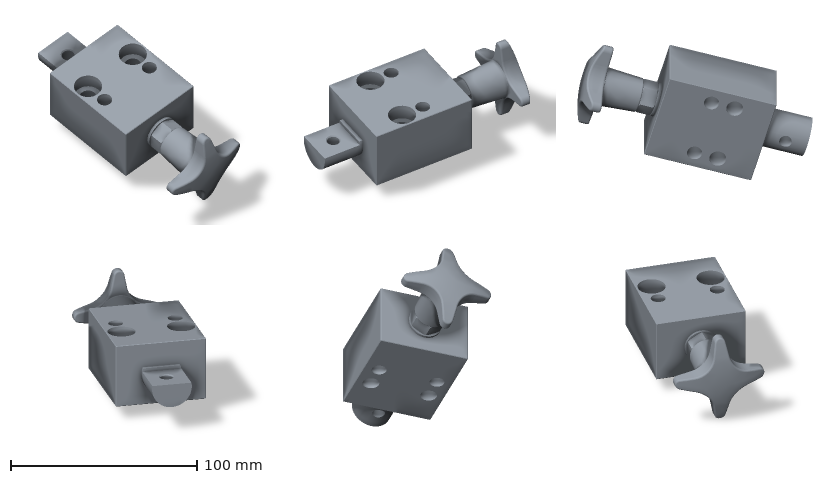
import cadquery as cq
import math


block_start = 24.0
block_length = 59.8
block_width = 50.0
block_height = 34.7
block_edge_chamfer = 0.3
block_end = block_start + block_length

hole_spacing = 33.0
screw_setback = 21.0
screw_x = block_start + screw_setback
screw_hole_diameter = 9.0
counterbore_diameter = 15.1
counterbore_depth = 8.8
screw_to_dowel = 13.0
dowel_x = screw_x + screw_to_dowel
dowel_hole_diameter = 8.0

plunger_diameter = 22.0
tongue_flat_height = 2.0
shoulder_height = 4.0
shoulder_length = 2.0
tongue_hole_x = 12.0
tongue_hole_diameter = 6.8
tongue_countersink_diameter = 8.0

collar_length = 1.5
collar_radius = 9.3
nut_length = 8.3
nut_across_flats = 16.0
nut_sides = 6
nut_across_corners = nut_across_flats / math.cos(math.pi / nut_sides)
nut_bevel_angle = 30
nut_bevel_depth = 0.9
nut_start = block_end + collar_length
nut_end = nut_start + nut_length

overall_length = 125.8
star_thickness = 10.8
star_radius = block_width / 2
dome_radius = 59.1
lobe_count = 4
lobe_tip_radius = 3.0
lobe_flank_angle = 11
valley_radius = 13.2
star_edge_fillet = 1.0
hub_start_radius = 9.3
hub_end_radius = 10.7
hub_flare_radius = 0.4
hub_edge_fillet = 0.8
star_start = overall_length - star_thickness


def cylinder_x(start, length, radius):
    """Cylinder on the X axis."""
    return cq.Workplane("YZ", origin=(start, 0, 0)).circle(radius).extrude(length)


def box_above(z, start, end):
    """Box that removes everything above height z between two X positions."""
    return cq.Workplane("XY").box(
        end - start, plunger_diameter, plunger_diameter, centered=(False, True, False)
    ).translate((start, 0, z))


def flatted_shaft(start, end):
    """Round shaft with one flat on top, which keeps it from turning in its bore."""
    shaft = cylinder_x(start, end - start, plunger_diameter / 2)
    return shaft.cut(box_above(shoulder_height, start, end))


def hole_pair(x, diameter, depth):
    """Two cylinders going down from the top of the block, one on each side of the plunger."""
    centres = [(x, side * hole_spacing / 2) for side in (-1, 1)]
    top = cq.Workplane("XY", origin=(0, 0, block_height / 2))
    return top.pushPoints(centres).circle(diameter / 2).extrude(-depth)


def make_block():
    """Chamfered block with the plunger bore, counterbored screw holes and plain dowel holes."""
    block = (
        cq.Workplane("XY")
        .box(block_length, block_width, block_height)
        .edges()
        .chamfer(block_edge_chamfer)
        .translate((block_start + block_length / 2, 0, 0))
    )
    block = block.cut(flatted_shaft(block_start, block_end))
    block = block.cut(hole_pair(screw_x, screw_hole_diameter, block_height))
    block = block.cut(hole_pair(screw_x, counterbore_diameter, counterbore_depth))
    return block.cut(hole_pair(dowel_x, dowel_hole_diameter, block_height))


def make_plunger():
    """Flatted shaft with a lower flat along its tongue and a countersunk hole through the tongue."""
    shoulder_start = block_start - shoulder_length
    plunger = flatted_shaft(0, block_end)
    plunger = plunger.cut(box_above(tongue_flat_height, 0, shoulder_start))
    flat = cq.Workplane("XY", origin=(tongue_hole_x, 0, tongue_flat_height))
    plunger = plunger.cut(flat.circle(tongue_hole_diameter / 2).extrude(-plunger_diameter))
    countersink_depth = (tongue_countersink_diameter - tongue_hole_diameter) / 2
    countersink = cq.Solid.makeCone(
        tongue_countersink_diameter / 2,
        tongue_hole_diameter / 2,
        countersink_depth,
        cq.Vector(tongue_hole_x, 0, tongue_flat_height),
        cq.Vector(0, 0, -1),
    )
    return plunger.cut(cq.Workplane(countersink))


def make_nut():
    """Hexagon with two flats facing +Y and -Y, its corners bevelled at both ends."""
    corners = [
        (
            nut_across_corners / 2 * math.sin(2 * math.pi * corner / nut_sides),
            nut_across_corners / 2 * math.cos(2 * math.pi * corner / nut_sides),
        )
        for corner in range(nut_sides)
    ]
    hexagon = cq.Workplane("YZ", origin=(nut_start, 0, 0)).polyline(corners).close().extrude(nut_length)
    bevel_length = nut_bevel_depth * math.tan(math.radians(nut_bevel_angle))
    bevelled_round = (
        cylinder_x(nut_start, nut_length, nut_across_corners / 2)
        .edges()
        .chamfer(bevel_length, nut_bevel_depth)
    )
    return hexagon.intersect(bevelled_round)


def make_hub():
    """Cone that widens towards the star and flares out into its back face."""
    sunk_end = star_start + star_edge_fillet
    rim_radius = hub_end_radius + hub_flare_radius
    hub = (
        cq.Workplane("XY")
        .moveTo(nut_end, 0)
        .lineTo(nut_end, hub_start_radius)
        .lineTo(star_start - hub_flare_radius, hub_end_radius)
        .radiusArc((star_start, rim_radius), -hub_flare_radius)
        .lineTo(sunk_end, rim_radius)
        .lineTo(sunk_end, 0)
        .close()
        .revolve(360, (0, 0, 0), (1, 0, 0))
    )
    return hub.faces("<X").edges().fillet(hub_edge_fillet)


def turned(point, angle):
    """Point turned about the origin, clockwise, by an angle in radians."""
    y, z = point
    return (
        y * math.cos(angle) + z * math.sin(angle),
        z * math.cos(angle) - y * math.sin(angle),
    )


def star_outline():
    """Lobes with round tips and straight flanks, joined by concave valleys."""
    flank = math.radians(lobe_flank_angle)
    pitch = 2 * math.pi / lobe_count
    normal = (math.cos(flank), math.sin(flank))
    tip_centre = star_radius - lobe_tip_radius
    tip_end = (lobe_tip_radius * normal[0], tip_centre + lobe_tip_radius * normal[1])
    tip_start = (-tip_end[0], tip_end[1])
    flank_offset = lobe_tip_radius + valley_radius + tip_centre * normal[1]
    centre_distance = flank_offset / math.sin(pitch / 2 + flank)
    valley_centre = turned((0, centre_distance), pitch / 2)
    valley_start = (
        valley_centre[0] - valley_radius * normal[0],
        valley_centre[1] - valley_radius * normal[1],
    )
    valley_middle = turned((0, centre_distance - valley_radius), pitch / 2)
    valley_end = turned((-valley_start[0], valley_start[1]), pitch)

    outline = cq.Workplane("YZ", origin=(star_start, 0, 0)).moveTo(*tip_start)
    for lobe in range(lobe_count):
        angle = lobe * pitch
        outline = outline.threePointArc(turned((0, star_radius), angle), turned(tip_end, angle))
        outline = outline.lineTo(*turned(valley_start, angle))
        outline = outline.threePointArc(turned(valley_middle, angle), turned(valley_end, angle))
        if lobe < lobe_count - 1:
            outline = outline.lineTo(*turned(tip_start, angle + pitch))
    return outline.close()


def make_star():
    """Lobed handle with a domed front and rounded rims."""
    star = star_outline().extrude(star_thickness)
    dome = cq.Workplane("XY").sphere(dome_radius).translate((overall_length - dome_radius, 0, 0))
    star = star.intersect(dome)
    return star.edges("not |X").fillet(star_edge_fillet)


block = make_block()

plunger_unit = make_plunger()
plunger_unit = plunger_unit.union(cylinder_x(block_end, collar_length, collar_radius))
plunger_unit = plunger_unit.union(make_nut())
plunger_unit = plunger_unit.union(make_hub())
plunger_unit = plunger_unit.union(make_star())

result = cq.Compound.makeCompound([block.val(), plunger_unit.val()])